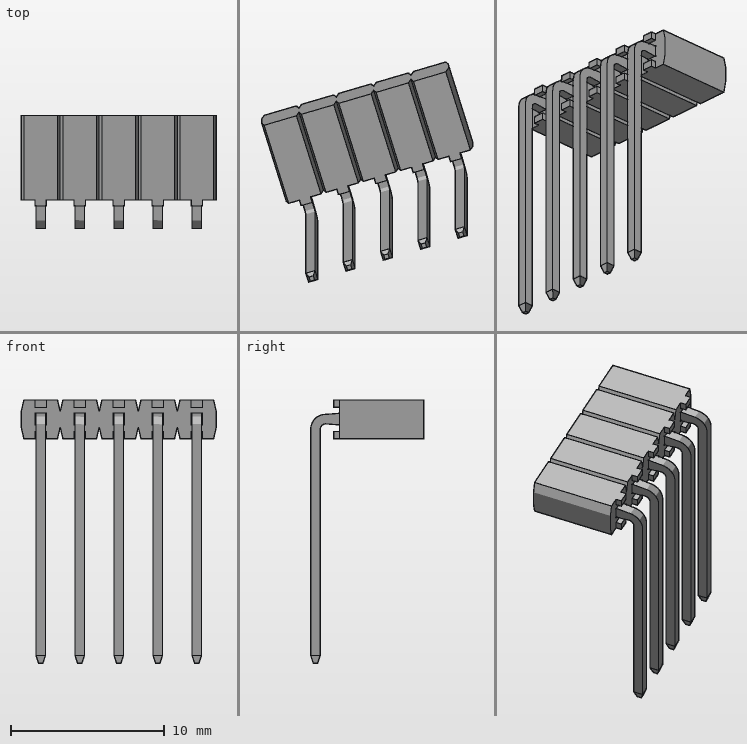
import cadquery as cq


pin_count = 5
pitch = 2.54
overall_height = 17.14
overall_depth = 7.37

housing_depth = 5.5
housing_height = 2.54
notch_half_width = 0.17
notch_depth = 0.74

standoff_width = 0.75
standoff_height = 0.48
standoff_length = 0.38

pocket_width = 0.75
pocket_depth = 0.77

pin_size = 0.63
root_height = 0.77
pin_rise = 0.02
bend_outer_radius = 0.98
tip_size = 0.29
tip_length = 0.51

half_height = housing_height / 2
notch_apex_height = half_height - notch_depth
pin_front_y = housing_depth - overall_depth
bend_center_y = pin_front_y + bend_outer_radius
bend_axis_drop = bend_outer_radius - pin_size / 2
bend_center_z = pin_rise - bend_axis_drop
leg_center_y = pin_front_y + pin_size / 2
tip_end_z = half_height - overall_height
tip_start_z = tip_end_z + tip_length
pin_positions = [(i - (pin_count - 1) / 2) * pitch for i in range(pin_count)]


def housing_cell(x):
    """One pitch of the housing; its sloped corners form the V notches with its neighbours."""
    edge = pitch / 2
    flat = edge - notch_half_width
    outline = [
        (x - flat, half_height),
        (x + flat, half_height),
        (x + edge, notch_apex_height),
        (x + edge, -notch_apex_height),
        (x + flat, -half_height),
        (x - flat, -half_height),
        (x - edge, -notch_apex_height),
        (x - edge, notch_apex_height),
    ]
    return cq.Workplane("XZ").polyline(outline).close().extrude(-housing_depth)


def standoff_pair(x):
    """Two blocks on the front face, flush with the top and bottom of the housing."""
    offset = half_height - standoff_height / 2
    return (
        cq.Workplane("XZ")
        .pushPoints([(x, offset), (x, -offset)])
        .rect(standoff_width, standoff_height)
        .extrude(standoff_length)
    )


def pin_pocket(x):
    """The volume removed from the housing for one pin root."""
    return (
        cq.Workplane("XZ", origin=(x, 0, pin_rise))
        .rect(pocket_width, root_height)
        .extrude(-pocket_depth)
    )


def make_housing():
    """All cells and standoffs joined into one solid, with a pocket cut for each pin."""
    housing = housing_cell(pin_positions[0])
    for x in pin_positions[1:]:
        housing = housing.union(housing_cell(x))
    for x in pin_positions:
        housing = housing.union(standoff_pair(x)).cut(pin_pocket(x))
    return housing


def make_pin(x):
    """A pin rooted in its pocket; it narrows in height to the bend and turns down to a pointed tip."""
    root = (
        cq.Workplane("XZ", origin=(x, 0, pin_rise))
        .rect(pin_size, root_height)
        .extrude(-pocket_depth)
    )
    neck = (
        cq.Workplane("XZ", origin=(x, 0, pin_rise))
        .rect(pin_size, root_height)
        .workplane(offset=-bend_center_y)
        .rect(pin_size, pin_size)
        .loft(ruled=True)
    )
    bend = (
        cq.Workplane("XZ", origin=(x, bend_center_y, pin_rise))
        .rect(pin_size, pin_size)
        .revolve(90, (-0.17, -bend_axis_drop), (0.17, -bend_axis_drop))
    )
    leg = (
        cq.Workplane("XY", origin=(x, leg_center_y, tip_start_z))
        .rect(pin_size, pin_size)
        .extrude(bend_center_z - tip_start_z)
    )
    tip = (
        cq.Workplane("XY", origin=(x, leg_center_y, tip_end_z))
        .rect(tip_size, tip_size)
        .workplane(offset=tip_length)
        .rect(pin_size, pin_size)
        .loft(ruled=True)
    )
    return root.union(neck).union(bend).union(leg).union(tip)


housing = make_housing()
pins = [make_pin(x) for x in pin_positions]

result = cq.Compound.makeCompound([housing.val(), *[pin.val() for pin in pins]])